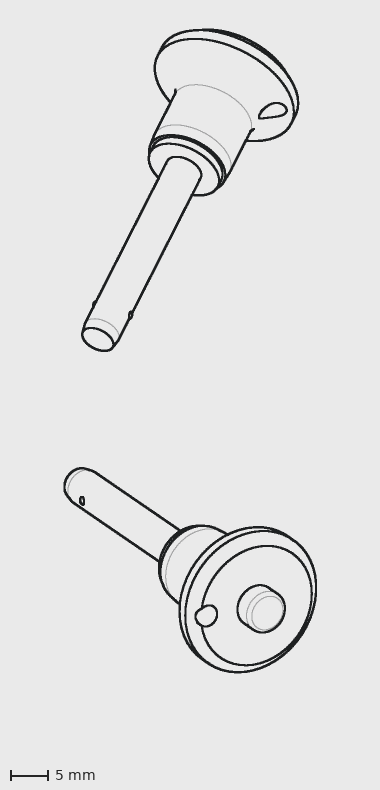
import cadquery as cq


total_length = 51.7
pin_length = 31.0
collar_length = 1.2
body_taper_length = 1.7
flare_radius = 4.3
flange_rim_width = 1.6
flange_bevel = 1.55
button_height = 3.0

flange_top = total_length - button_height
rim_top = flange_top - flange_bevel
rim_bottom = rim_top - flange_rim_width
flare_bottom = rim_bottom - flare_radius
body_bottom = pin_length + collar_length
body_taper_top = body_bottom + body_taper_length

pin_radius = 5.0 / 2
collar_radius = 5.05
body_radius = 5.65
body_taper_inset = 0.15
flange_radius = 20.0 / 2
button_radius = 2.9
button_rounding = 0.5

tip_length = 1.45
tip_inset = 0.25

ball_radius = 0.6
ball_position = 5.4
ball_protrusion = 0.25
ball_offset = pin_radius + ball_protrusion - ball_radius

hole_diameter = 3.0
hole_offset = 7.5


def turned_body():
    """Pin, collar, handle and flange revolved in one piece."""
    flare_center = (body_radius + flare_radius, flare_bottom)
    half_chord = flare_radius * 0.5 ** 0.5
    flare_middle = (flare_center[0] - half_chord, flare_center[1] + half_chord)
    profile = (
        cq.Workplane("XY")
        .moveTo(0, 0)
        .lineTo(pin_radius - tip_inset, 0)
        .lineTo(pin_radius, tip_length)
        .lineTo(pin_radius, pin_length)
        .lineTo(collar_radius, pin_length)
        .lineTo(collar_radius, body_bottom)
        .lineTo(body_radius - body_taper_inset, body_bottom)
        .lineTo(body_radius, body_taper_top)
        .lineTo(body_radius, flare_bottom)
        .threePointArc(flare_middle, (flare_center[0], rim_bottom))
        .lineTo(flange_radius, rim_bottom)
        .lineTo(flange_radius, rim_top)
        .lineTo(flange_radius - flange_bevel, flange_top)
        .lineTo(0, flange_top)
        .close()
    )
    return profile.revolve(360, (0, 0, 0), (0, 1, 0))


def release_button():
    """Button with a rounded outer edge, standing on the flange."""
    button = cq.Workplane("XZ", origin=(0, flange_top, 0)).circle(button_radius).extrude(-button_height)
    return button.faces(">Y").edges().fillet(button_rounding)


def locking_ball(side):
    """Ball set into the pin, on the +X side (1) or the -X side (-1)."""
    return cq.Workplane("XY").sphere(ball_radius).translate((side * ball_offset, ball_position, 0))


def lanyard_hole():
    """Cutter parallel to the axis, crossing the flange and flare."""
    cutter = cq.Workplane("XZ", origin=(hole_offset, flare_bottom, 0)).circle(hole_diameter / 2)
    return cutter.extrude(flare_bottom - flange_top)


result = turned_body().union(release_button())
for side in (-1, 1):
    result = result.union(locking_ball(side))
result = result.cut(lanyard_hole())